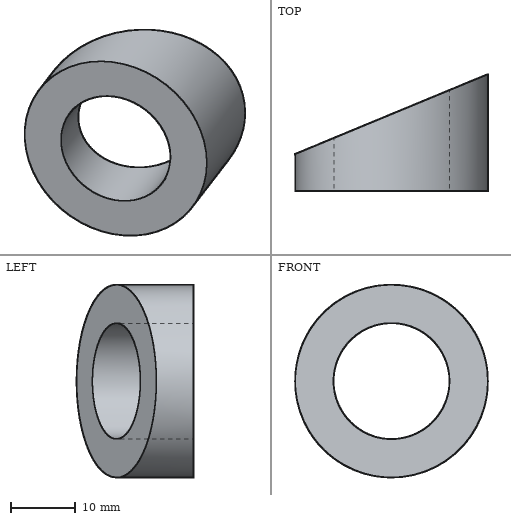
import cadquery as cq
import math

outer_diameter = 30.0
bore_diameter = 18.0
axis_length = 12.0
slant_angle = 22.5

outer_radius = outer_diameter / 2
half_rise = outer_radius * math.tan(math.radians(slant_angle))
short_length = axis_length - half_rise
long_length = axis_length + half_rise

wedge = (
    cq.Workplane("XY")
    .moveTo(-outer_radius, 0)
    .lineTo(outer_radius, 0)
    .lineTo(outer_radius, long_length)
    .lineTo(-outer_radius, short_length)
    .close()
    .extrude(outer_radius, both=True)
)

tube = (
    cq.Workplane("XZ")
    .circle(outer_radius)
    .circle(bore_diameter / 2)
    .extrude(-long_length)
)

result = tube.intersect(wedge)